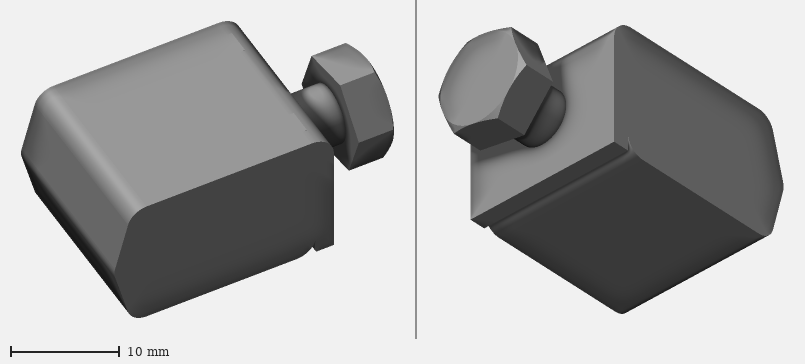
import cadquery as cq
import math

body_width = 18.0
body_height = 14.2
body_depth = 23.0
nose_slope = math.radians(15)
edge_radius = 2.02
rear_top_radius = 2.33

plate_thickness = 1.85

tab_width = 2.55
tab_inset = 1.77

shank_diameter = 6.0
shank_length = 4.5
head_thickness = 4.05
head_flats = 9.7
head_turn = 10
head_chamfer = math.radians(30)

half_height = body_height / 2
bottom = -half_height
notch_y = -plate_thickness
nose_tip_y = -body_depth - edge_radius * (1 / math.cos(nose_slope) - 1)
shoulder_y = nose_tip_y + half_height * math.tan(nose_slope)


def make_body():
    arc_center = (notch_y - edge_radius, bottom + edge_radius)
    arc_reach = edge_radius * math.sqrt(0.5)
    profile = (
        cq.Workplane("YZ", origin=(-body_width / 2, 0, 0))
        .moveTo(0, half_height)
        .lineTo(shoulder_y, half_height)
        .lineTo(nose_tip_y, 0)
        .lineTo(shoulder_y, bottom)
        .lineTo(arc_center[0], bottom)
        .threePointArc(
            (arc_center[0] + arc_reach, arc_center[1] - arc_reach),
            (notch_y, arc_center[1]),
        )
        .lineTo(notch_y, bottom)
        .lineTo(0, bottom)
        .close()
    )
    body = profile.extrude(body_width)
    for y, z in ((nose_tip_y, 0), (shoulder_y, half_height), (shoulder_y, bottom)):
        edge = cq.selectors.NearestToPointSelector((0, y, z))
        body = body.edges(edge).fillet(edge_radius)
    return body.edges(cq.selectors.NearestToPointSelector((0, 0, half_height))).fillet(rear_top_radius)


def make_tab(side):
    tab_x = side * (body_width / 2 - tab_inset - tab_width / 2)
    return (
        cq.Workplane("XY")
        .box(tab_width, rear_top_radius, rear_top_radius, centered=(True, False, False))
        .translate((tab_x, notch_y - rear_top_radius, half_height - rear_top_radius))
    )


def make_bolt():
    corner_radius = head_flats / math.sqrt(3)
    head_end = shank_length + head_thickness
    face_radius = head_flats / 2
    chamfer_depth = (corner_radius - face_radius) * math.tan(head_chamfer)
    shank = cq.Workplane("XZ").circle(shank_diameter / 2).extrude(-shank_length)
    head = (
        cq.Workplane("XZ", origin=(0, shank_length, 0))
        .polygon(6, 2 * corner_radius)
        .extrude(-head_thickness)
        .rotate((0, 0, 0), (0, 1, 0), -head_turn)
    )
    envelope = (
        cq.Workplane("XY")
        .moveTo(0, shank_length)
        .lineTo(corner_radius, shank_length)
        .lineTo(corner_radius, head_end - chamfer_depth)
        .lineTo(face_radius, head_end)
        .lineTo(0, head_end)
        .close()
        .revolve(360, (0, 0, 0), (0, 1, 0))
    )
    return shank.union(head.intersect(envelope))


result = make_body()
for side in (-1, 1):
    result = result.union(make_tab(side))
result = result.union(make_bolt())